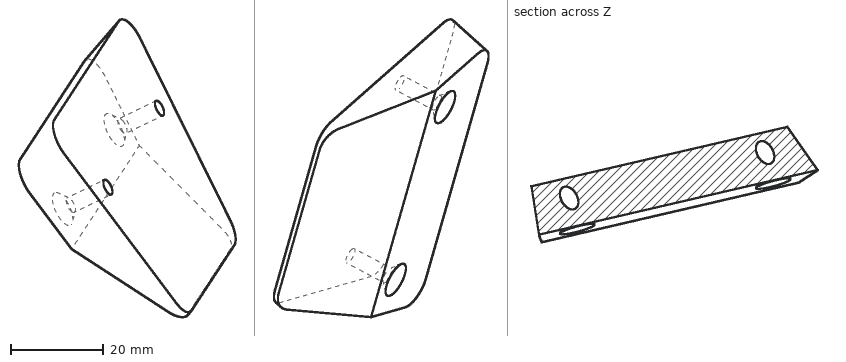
import cadquery as cq
import math

turn = 36.0
tilt = 36.9
face_slope = 21.4
front_width = 68.05
side_taper = 13.1
depth = 50.15
front_height = 12.8
corner_radius = 5.0
screw_face_depth = 21.1

hole_diameter = 3.5
sink_diameter = 7.8
sink_angle = 90.0
hole_spacing = 44.4
hole_setback = 15.4

slope_ratio = math.tan(math.radians(face_slope))
back_width = front_width - 2 * depth * math.tan(math.radians(side_taper))
flat_drop = screw_face_depth * slope_ratio
back_top = front_height - depth * slope_ratio



def tapered_block():
    """Trapezoidal prism with rounded vertical corners."""
    outline = [
        (-front_width / 2, 0),
        (front_width / 2, 0),
        (back_width / 2, depth),
        (-back_width / 2, depth),
    ]
    return (
        cq.Workplane("XY")
        .workplane(offset=-flat_drop)
        .polyline(outline)
        .close()
        .extrude(front_height + flat_drop)
        .edges("|Z")
        .fillet(corner_radius)
    )


def wedge_envelope():
    """Side profile: parallel sloping faces above and below, then a flat underside."""
    profile = [
        (0, 0),
        (0, front_height),
        (depth, back_top),
        (depth, -flat_drop),
        (screw_face_depth, -flat_drop),
    ]
    return cq.Workplane("YZ").polyline(profile).close().extrude(front_width / 2, both=True)


def countersunk_holes():
    """Cutters square to the screw face, sunk from below."""
    screw_face = cq.Workplane("XY").transformed(rotate=(-face_slope, 0, 0))
    centres = [(side * hole_spacing / 2, hole_setback) for side in (-1, 1)]
    sink_depth = (sink_diameter - hole_diameter) / 2 / math.tan(math.radians(sink_angle / 2))
    shafts = screw_face.pushPoints(centres).circle(hole_diameter / 2).extrude(front_height)
    sinks = (
        screw_face.pushPoints(centres)
        .circle(sink_diameter / 2)
        .extrude(sink_depth, taper=sink_angle / 2)
    )
    return shafts.union(sinks)


def place(part):
    """Tilt the back downhill, then turn the part about Z."""
    return part.rotate((0, 0, 0), (1, 0, 0), -tilt).rotate((0, 0, 0), (0, 0, 1), -turn)


result = place(tapered_block().intersect(wedge_envelope()).cut(countersunk_holes()))